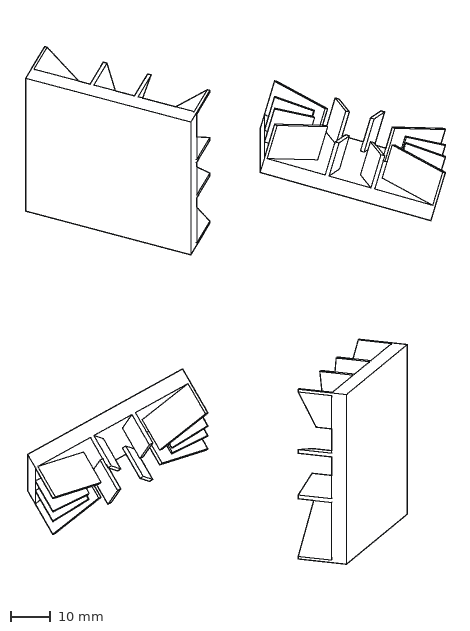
import cadquery as cq

side = 45.0
total_depth = 13.0
base_thickness = 4.0
fin_thickness = 1.0
fin_count = 12
open_radius = 12.5

fin_height = total_depth - base_thickness
front_face = -total_depth / 2
fin_root = front_face + base_thickness
fin_pitch = 360 / fin_count
fin_reach = side


def slab(start_y, depth):
    """Square block the size of the plate, from start_y toward +Y."""
    return cq.Workplane("XY").box(side, depth, side).translate((0, start_y + depth / 2, 0))


def radial_fin(angle):
    """Fin standing on the plate, running outward at an angle about Y."""
    fin = cq.Workplane("XY").box(fin_reach, fin_height, fin_thickness)
    fin = fin.translate((open_radius + fin_reach / 2, fin_root + fin_height / 2, 0))
    return fin.rotate((0, 0, 0), (0, 1, 0), angle)


result = slab(front_face, base_thickness)
fin_envelope = slab(fin_root, fin_height)
for index in range(fin_count):
    fin = radial_fin((index + 0.5) * fin_pitch)
    result = result.union(fin.intersect(fin_envelope))